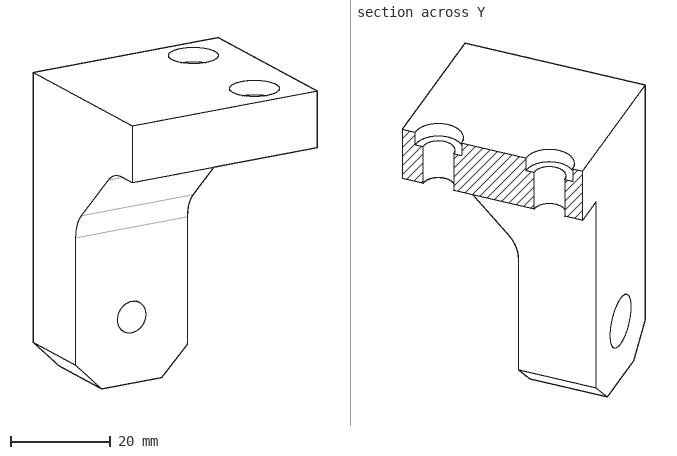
import cadquery as cq

length_x = 39.0
width_y = 43.0
height = 63.0

flange_thickness = 12.0
leg_thickness = 16.75
leg_width = 26.0
foot_chamfer = 6.05

brace_size = 15.0
brace_radius = 7.5

hole_diameter = 6.6
flange_bore_diameter = 10.0
flange_bore_depth = 3.0
flange_hole_count = 2
flange_hole_spacing = 24.0
first_hole_x = 7.2
flange_hole_inset = 10.0
leg_bore_diameter = 11.0
leg_bore_depth = 7.0
leg_hole_height = 14.0

flange_bottom = height - flange_thickness


def make_flange():
    return cq.Workplane("XY").box(
        length_x, width_y, flange_thickness, centered=False
    ).translate((0, 0, flange_bottom))


def make_leg():
    """Leg and brace profile in XZ, extruded across the leg width."""
    profile = (
        cq.Workplane("XZ")
        .moveTo(0, 0)
        .lineTo(leg_thickness, 0)
        .lineTo(leg_thickness, flange_bottom - brace_size)
        .lineTo(leg_thickness + brace_size, flange_bottom)
        .lineTo(length_x, flange_bottom)
        .lineTo(length_x, height)
        .lineTo(0, height)
        .close()
    )
    leg = profile.extrude(-leg_width)
    leg = leg.edges("|X and <Z").chamfer(foot_chamfer)
    middle = leg_width / 2
    for x, z in (
        (leg_thickness, flange_bottom - brace_size),
        (leg_thickness + brace_size, flange_bottom),
    ):
        leg = leg.edges(cq.NearestToPointSelector((x, middle, z))).fillet(brace_radius)
    return leg


def cut_flange_holes(body):
    """Counterbored holes running down through the overhanging flange."""
    hole_y = width_y - flange_hole_inset
    centers = [(first_hole_x + i * flange_hole_spacing, hole_y) for i in range(flange_hole_count)]
    return (
        body.faces(">Z")
        .workplane(origin=(0, 0, height))
        .pushPoints(centers)
        .cboreHole(hole_diameter, flange_bore_diameter, flange_bore_depth)
    )


def cut_leg_hole(body):
    """Counterbored hole running along X through the foot of the leg."""
    return (
        body.faces("<X")
        .workplane(origin=(0, leg_width / 2, leg_hole_height))
        .cboreHole(hole_diameter, leg_bore_diameter, leg_bore_depth)
    )


result = cut_leg_hole(cut_flange_holes(make_flange().union(make_leg())))